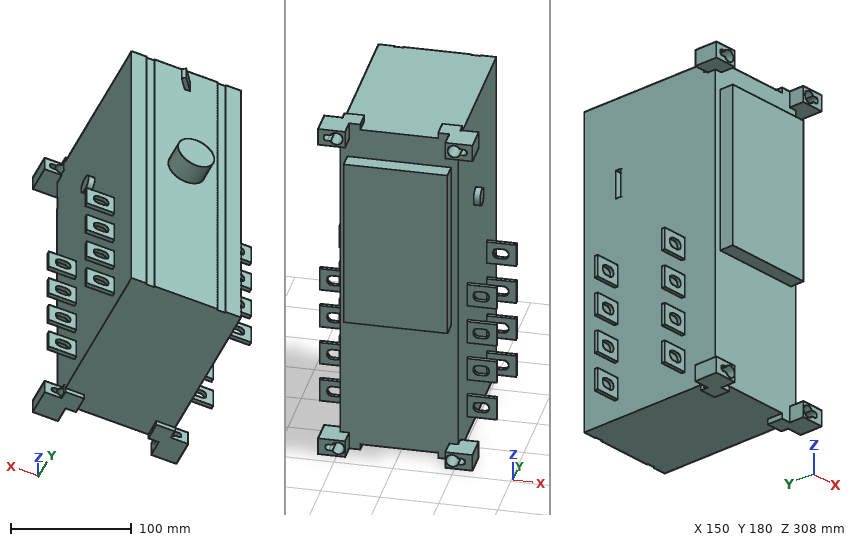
import cadquery as cq
import math

BODY_WIDTH = 100.0
BODY_DEPTH = 145.5
BODY_HEIGHT = 298.0
HALF_WIDTH = BODY_WIDTH / 2

PANEL_WIDTH = 88.0
PANEL_BOTTOM = 122.0
PANEL_TOP = 271.5
PANEL_THICKNESS = 14.0

FOOT_SPAN = 131.0
FOOT_WIDTH = 23.0
FOOT_HEIGHT = 15.0
FOOT_FRONT = -15.0
FOOT_BACK = 8.5
FOOT_OVERHANG = 5.0
TAB_LENGTH = 17.0
TAB_BACK = 16.0

KEYHOLE_DIAMETER = 11.0
KEYHOLE_SLOT_WIDTH = 5.5
KEYHOLE_SLOT_REACH = 8.0
KEYHOLE_BACK = 13.0
KEYHOLE_EDGE_DISTANCE = 7.5
UPPER_KEYHOLE_X = HALF_WIDTH
LOWER_KEYHOLE_X = HALF_WIDTH - 1.5

TERMINAL_SPAN = 150.0
TERMINAL_HEIGHT = 20.0
TERMINAL_THICKNESS = 3.5
TERMINAL_ROWS_Y = (35.5, 110.0)
TERMINAL_COUNT = 4
TERMINAL_PITCH = 35.0
FIRST_TERMINAL_Z = 28.0
TERMINAL_HOLE_X = 62.0
TERMINAL_HOLE_LENGTH = 13.5
TERMINAL_HOLE_HEIGHT = 9.0

KNOB_DIAMETER = 33.0
KNOB_LENGTH = 19.5
KNOB_Z = 168.5
LEVER_REACH = 12.0
LEVER_HEIGHT = 12.0
LEVER_THICKNESS = 4.0
LEVER_ANGLE = 53.0
LEVER_BASE_X = -1.0
LEVER_Z = 279.0

BUTTON_DIAMETER = 15.0
BUTTON_LENGTH = 5.5
BUTTON_Y = 66.0
BUTTON_Z = 209.5

SIDE_SLOT_WIDTH = 5.5
SIDE_SLOT_HEIGHT = 26.0
SIDE_SLOT_DEPTH = 10.0
SIDE_SLOT_Y = 107.5
SIDE_SLOT_Z = 218.5

GROOVE_X = 32.5
GROOVE_WIDTH = 7.5
GROOVE_DEPTH = 1.0


def block(x_range, y_range, z_range):
    """Box spanning the given (low, high) ranges."""
    lows, highs = zip(x_range, y_range, z_range)
    sizes = [high - low for low, high in zip(lows, highs)]
    return cq.Workplane("XY").box(*sizes, centered=False).translate(lows)


def centred(middle, size):
    """Range of the given size about its middle."""
    return (middle - size / 2, middle + size / 2)


def make_body():
    body = block((-HALF_WIDTH, HALF_WIDTH), (0, BODY_DEPTH), (0, BODY_HEIGHT))
    panel = block(centred(0, PANEL_WIDTH), (-PANEL_THICKNESS, 0), (PANEL_BOTTOM, PANEL_TOP))
    body = body.union(panel)
    for x in (-GROOVE_X, GROOVE_X):
        groove = block(centred(x, GROOVE_WIDTH), (BODY_DEPTH - GROOVE_DEPTH, BODY_DEPTH), (0, BODY_HEIGHT))
        body = body.cut(groove)
    slot = block(
        (-HALF_WIDTH, -HALF_WIDTH + SIDE_SLOT_DEPTH),
        centred(SIDE_SLOT_Y, SIDE_SLOT_WIDTH),
        centred(SIDE_SLOT_Z, SIDE_SLOT_HEIGHT),
    )
    return body.cut(slot)


def make_right_foot(foot_bottom, tab_bottom):
    """Foot on the +X side, with the tab that laps over the end of the body."""
    foot_outer = FOOT_SPAN / 2
    foot = block(
        (foot_outer - FOOT_WIDTH, foot_outer),
        (FOOT_FRONT, FOOT_BACK),
        (foot_bottom, foot_bottom + FOOT_HEIGHT),
    )
    tab = block(
        (HALF_WIDTH - TAB_LENGTH, HALF_WIDTH),
        (0, TAB_BACK),
        (tab_bottom, tab_bottom + FOOT_OVERHANG),
    )
    return foot.union(tab)


def make_right_keyhole(x, z):
    """Keyhole cutter on the +X side, with its narrow slot pointing outward."""
    depth = KEYHOLE_BACK - FOOT_FRONT
    plane = cq.Workplane("XZ", origin=(x, KEYHOLE_BACK, z))
    round_hole = plane.circle(KEYHOLE_DIAMETER / 2).extrude(depth)
    slot = plane.center(KEYHOLE_SLOT_REACH / 2, 0)
    slot = slot.slot2D(KEYHOLE_SLOT_REACH + KEYHOLE_SLOT_WIDTH, KEYHOLE_SLOT_WIDTH).extrude(depth)
    return round_hole.union(slot)


def add_feet(part):
    top = BODY_HEIGHT + FOOT_OVERHANG
    bottom = -FOOT_OVERHANG
    upper_foot = make_right_foot(top - FOOT_HEIGHT, BODY_HEIGHT)
    lower_foot = make_right_foot(bottom, bottom)
    upper_keyhole = make_right_keyhole(UPPER_KEYHOLE_X, top - KEYHOLE_EDGE_DISTANCE)
    lower_keyhole = make_right_keyhole(LOWER_KEYHOLE_X, bottom + KEYHOLE_EDGE_DISTANCE)
    for foot, keyhole in ((upper_foot, upper_keyhole), (lower_foot, lower_keyhole)):
        part = part.union(foot).union(foot.mirror("YZ"))
        part = part.cut(keyhole).cut(keyhole.mirror("YZ"))
    return part


def make_terminal(y, z):
    """Flat bar through the body with a slotted hole near each end."""
    bar = block(
        centred(0, TERMINAL_SPAN),
        centred(y, TERMINAL_THICKNESS),
        centred(z, TERMINAL_HEIGHT),
    )
    holes = cq.Workplane("XZ", origin=(0, y, z)).pushPoints([(-TERMINAL_HOLE_X, 0), (TERMINAL_HOLE_X, 0)])
    holes = holes.slot2D(TERMINAL_HOLE_LENGTH, TERMINAL_HOLE_HEIGHT).extrude(TERMINAL_THICKNESS, both=True)
    return bar.cut(holes)


def add_terminals(part):
    for y in TERMINAL_ROWS_Y:
        for index in range(TERMINAL_COUNT):
            part = part.union(make_terminal(y, FIRST_TERMINAL_Z + index * TERMINAL_PITCH))
    return part


def make_knob():
    plane = cq.Workplane("XZ", origin=(0, BODY_DEPTH, KNOB_Z))
    return plane.circle(KNOB_DIAMETER / 2).extrude(-KNOB_LENGTH)


def make_lever():
    """Flat lever leaning toward +X, with a square end and its root flush with the back face."""
    angle = math.radians(LEVER_ANGLE)
    base_width = LEVER_THICKNESS / math.sin(angle)
    tip_x = LEVER_REACH / math.tan(angle)
    end_x = LEVER_THICKNESS * math.sin(angle)
    end_drop = LEVER_THICKNESS * math.cos(angle)
    outline = [
        (0, 0),
        (tip_x, LEVER_REACH),
        (tip_x + end_x, LEVER_REACH - end_drop),
        (base_width, 0),
    ]
    origin = (LEVER_BASE_X - base_width / 2, BODY_DEPTH, LEVER_Z)
    return cq.Workplane("XY", origin=origin).polyline(outline).close().extrude(LEVER_HEIGHT / 2, both=True)


def make_button():
    plane = cq.Workplane("YZ", origin=(HALF_WIDTH, BUTTON_Y, BUTTON_Z))
    return plane.circle(BUTTON_DIAMETER / 2).extrude(BUTTON_LENGTH)


result = add_terminals(add_feet(make_body()))
result = result.union(make_knob()).union(make_lever()).union(make_button())